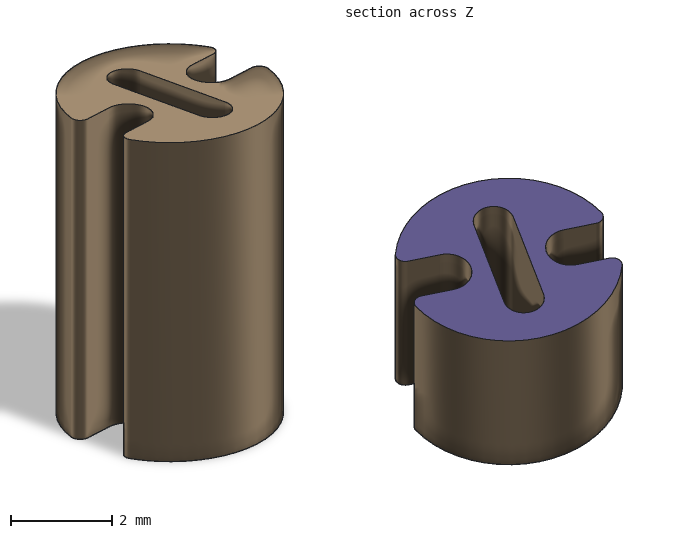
import cadquery as cq

body_diameter = 4.5
body_radius = body_diameter / 2
body_length = 7.0

groove_width = 0.98
groove_floor_radius = groove_width / 2
groove_floor_offset = 0.78
groove_lip_radius = 0.2

slot_length = 3.0
slot_width = 0.8


def make_groove_cutter(side):
    """Full-length groove cutter; side is +1 for +Y and -1 for -Y."""
    floor_centre = groove_floor_offset + groove_floor_radius
    groove_reach = body_radius
    straight = (
        cq.Workplane("XY")
        .center(0, side * (floor_centre + groove_reach / 2))
        .rect(groove_width, groove_reach)
        .extrude(body_length)
    )
    floor = (
        cq.Workplane("XY")
        .center(0, side * floor_centre)
        .circle(groove_floor_radius)
        .extrude(body_length)
    )
    return straight.union(floor)


def make_grooved_body():
    """Round bar with both grooves cut and their outer lips rounded."""
    body = cq.Workplane("XY").circle(body_radius).extrude(body_length)
    for side in (1, -1):
        body = body.cut(make_groove_cutter(side))
    lip_y = (body_radius**2 - groove_floor_radius**2) ** 0.5
    for side_x in (1, -1):
        for side_y in (1, -1):
            lip_point = (side_x * groove_floor_radius, side_y * lip_y, body_length / 2)
            lip_edge = cq.selectors.NearestToPointSelector(lip_point)
            body = body.edges(lip_edge).fillet(groove_lip_radius)
    return body


def make_slot_cutter():
    """Through slot with full-round ends."""
    return cq.Workplane("XY").slot2D(slot_length, slot_width).extrude(body_length)


result = make_grooved_body().cut(make_slot_cutter())